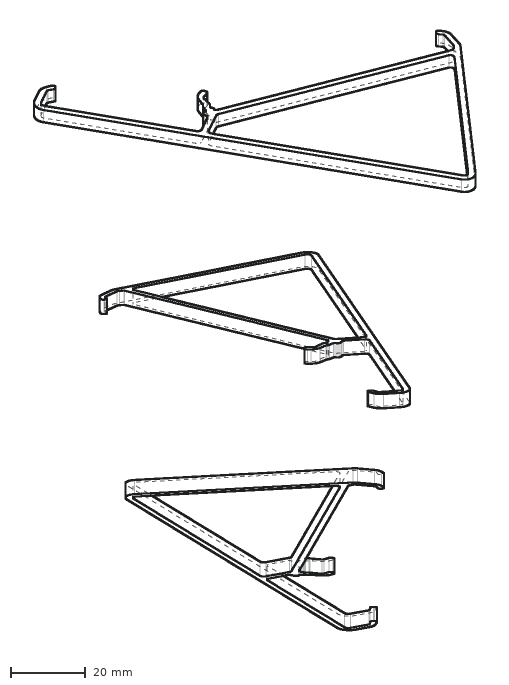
import cadquery as cq
import math

length = 122.9
thickness = 4.0
wall = 2.0

outer_bend = 3.0
front_bend = 3.6
inner_bend = 1.1
tip_round = 0.8
soft_edge = 0.5
lip_bend = 3.2

back_lean = math.radians(20)
rest_rise = math.radians(40)
post_right = 48.7
post_left = post_right - wall
rest_height_at_post = 13.4

back_corner_x = length + outer_bend * (math.tan(math.pi / 4 + back_lean / 2) - 1)
back_run = math.tan(back_lean)
rest_slope = math.tan(rest_rise)
back_wall_x = wall / math.cos(back_lean)
rest_wall_y = wall / math.cos(rest_rise)


def back_outer_x(y):
    """X of the back's outer face at height y."""
    return back_corner_x - y * back_run


def rest_upper_y(x):
    """Y of the rest's upper face at position x."""
    return rest_height_at_post + (x - post_right) * rest_slope


def toward(start, end, distance):
    """Point at a distance from start along the line to end."""
    span = math.dist(start, end)
    return tuple(a + (b - a) * distance / span for a, b in zip(start, end))


def rounded_plate(corners):
    """Extrude a closed outline of (x, y, radius) corners, each rounded by a tangent arc."""
    outline = None
    for i, (x, y, radius) in enumerate(corners):
        corner = (x, y)
        before = corners[i - 1][:2]
        after = corners[(i + 1) % len(corners)][:2]
        a = toward(corner, before, 1.2)
        b = toward(corner, after, 1.2)
        middle = ((a[0] + b[0]) / 2, (a[1] + b[1]) / 2)
        half_angle = math.asin(math.dist(a, b) / 2.5)
        setback = radius / math.tan(half_angle)
        arc_start = toward(corner, before, setback)
        arc_end = toward(corner, after, setback)
        arc_middle = toward(corner, middle, radius / math.sin(half_angle) - radius)
        if outline is None:
            outline = cq.Workplane("XY").moveTo(*arc_start)
        else:
            outline = outline.lineTo(*arc_start)
        outline = outline.threePointArc(arc_middle, arc_end)
    return outline.close().extrude(thickness)


front_hook = [
    (wall, wall, inner_bend),
    (wall, 9.0, soft_edge),
    (4.2, 10.5, tip_round),
    (3.1, 12.0, tip_round),
    (0, 9.3, lip_bend),
    (0, 0, front_bend),
]

top_hook = [
    (back_outer_x(60.1), 60.1, lip_bend),
    (97.7, 64.9, lip_bend),
    (94.4, 64.9, tip_round),
    (94.4, 62.9, tip_round),
    (96.7, 63.4, soft_edge),
    (100.9, 59.0, inner_bend),
    (100.9, rest_upper_y(100.9), soft_edge / 2),
]

lower_hook = [
    (47.7, rest_upper_y(47.7), soft_edge),
    (47.0, 13.5, soft_edge),
    (46.1, 13.5, soft_edge / 2),
    (45.7, 14.8, soft_edge),
    (43.0, 17.5, soft_edge),
    (43.6, 20.3, tip_round),
    (41.7, 20.7, tip_round),
    (41.0, 17.5, lip_bend),
    (43.9, 14.1, soft_edge),
    (44.1, 13.3, soft_edge),
    (45.5, 11.7, soft_edge / 2),
    (44.7, 10.7, soft_edge),
    (45.6, 9.7, soft_edge),
    (post_left, 9.2, soft_edge),
]

outer_corners = (
    [(back_corner_x, 0, outer_bend)]
    + top_hook
    + lower_hook
    + [(post_left, wall, inner_bend)]
    + front_hook
)

rest_lower_at_zero = rest_upper_y(0) - rest_wall_y
back_inner_at_zero = back_outer_x(0) - back_wall_x
apex_x = (back_inner_at_zero - back_run * rest_lower_at_zero) / (1 + back_run * rest_slope)
opening_corners = [
    (post_right, wall, inner_bend),
    (back_outer_x(wall) - back_wall_x, wall, inner_bend),
    (apex_x, rest_upper_y(apex_x) - rest_wall_y, inner_bend),
    (post_right, rest_upper_y(post_right) - rest_wall_y, inner_bend),
]

result = rounded_plate(outer_corners).cut(rounded_plate(opening_corners))